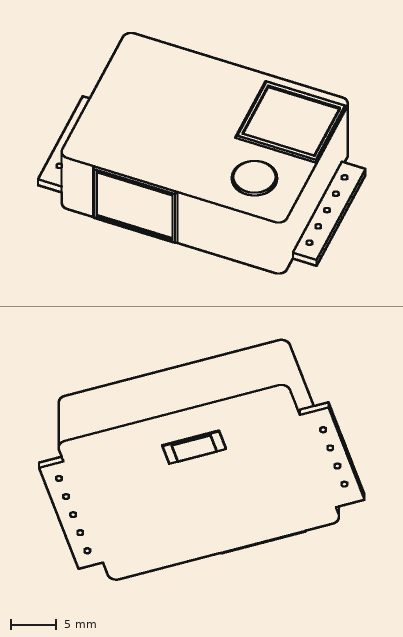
import cadquery as cq

total_length = 32.7
body_left = 3.3
body_right = 29.9
body_depth = 19.52
body_height = 8.57
corner_radius = 1.0

tab_thickness = 1.0
left_tab_length = 13.0
left_tab_center_y = 8.5
right_tab_length = 14.25
right_tab_center_y = 9.8
hole_pitch = 2.55
hole_diameter = 0.65
left_hole_x = 1.47
right_hole_x = 31.03
left_hole_count = 4
right_hole_count = 5

raised_height = 0.23
bevel_width = 0.2
pocket_depth = raised_height

top_frame_length = 9.68
top_frame_width = 8.85
top_frame_center_y = 14.1
top_pocket_length = 8.5
top_pocket_width = 7.5

front_frame_length = 9.97
front_frame_center_x = 12.33
front_pocket_length = 9.0
front_pocket_height = 7.45

button_diameter = 5.0
button_x = 24.4
button_y = 5.05

pad_center_x = 15.63
pad_center_y = 14.5
pad_step = 0.2
pad_length = 6.55
pad_width = 2.5
pad_foot_length = 4.48
pad_foot_width = 2.3


def make_body():
    length = body_right - body_left
    return (
        cq.Workplane("XY")
        .box(length, body_depth, body_height, centered=False)
        .edges("|Z")
        .fillet(corner_radius)
        .translate((body_left, 0, 0))
    )


def make_tab(x_start, x_end, center_y, length, hole_x, hole_count):
    """Flat tab with a row of through holes along Y."""
    center_x = (x_start + x_end) / 2
    tab = (
        cq.Workplane("XY")
        .center(center_x, center_y)
        .rect(x_end - x_start, length)
        .extrude(tab_thickness)
    )
    holes = (
        cq.Workplane("XY")
        .center(hole_x, center_y)
        .rarray(0.33, hole_pitch, 1, hole_count)
        .circle(hole_diameter / 2)
        .extrude(tab_thickness)
    )
    return tab.cut(holes)


def make_frame(plane, length, width, pocket_length, pocket_width):
    """Bevelled rectangular frame around a shallow pocket, standing on the plane."""
    raised = (
        cq.Workplane(plane)
        .rect(length, width)
        .workplane(offset=raised_height)
        .rect(length - 2 * bevel_width, width - 2 * bevel_width)
        .loft(ruled=True)
    )
    pocket = (
        cq.Workplane(plane)
        .workplane(offset=raised_height - pocket_depth)
        .rect(pocket_length, pocket_width)
        .extrude(pocket_depth)
    )
    return raised.cut(pocket)


def make_button():
    return (
        cq.Workplane("XY", origin=(button_x, button_y, body_height))
        .circle(button_diameter / 2)
        .workplane(offset=raised_height)
        .circle(button_diameter / 2 - bevel_width)
        .loft(ruled=True)
    )


def make_pad():
    return (
        cq.Workplane("XY", origin=(pad_center_x, pad_center_y, 0))
        .rect(pad_length, pad_width)
        .extrude(-pad_step)
        .faces("<Z")
        .workplane()
        .rect(pad_foot_length, pad_foot_width)
        .extrude(pad_step)
    )


top_frame_center_x = body_right - top_frame_length / 2
top_plane = cq.Plane.XY(origin=(top_frame_center_x, top_frame_center_y, body_height))
front_plane = cq.Plane.XZ(origin=(front_frame_center_x, 0, body_height / 2))

left_tab = make_tab(
    0, body_left, left_tab_center_y, left_tab_length, left_hole_x, left_hole_count
)
right_tab = make_tab(
    body_right, total_length, right_tab_center_y, right_tab_length, right_hole_x, right_hole_count
)
top_frame = make_frame(
    top_plane, top_frame_length, top_frame_width, top_pocket_length, top_pocket_width
)
front_frame = make_frame(
    front_plane, front_frame_length, body_height, front_pocket_length, front_pocket_height
)

result = (
    make_body()
    .union(left_tab)
    .union(right_tab)
    .union(top_frame)
    .union(front_frame)
    .union(make_button())
    .union(make_pad())
)